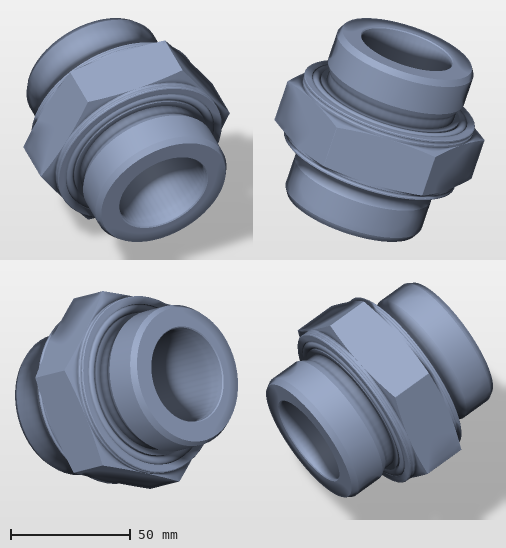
import cadquery as cq
import math

across_corners = 86.5
length = 76.0
half_length = length / 2
across_flats = 75.0
hex_radius = across_flats / 2

bore_radius = 40.0 / 2
bore_chamfer = 0.4

thread_radius = 60.0 / 2
neck_radius = 55.9 / 2
end_chamfer_length = 2.6
taper_angle = 30
thread_end = 15.4
neck_blend_radius = 1.5

collar_face = 24.0
collar_rim_width = 0.35
collar_rim_length = 0.3
rim_groove_start = 24.8
rim_groove_end = 26.2
rim_groove_depth = 0.35
hex_start = 27.4
hex_chamfer_angle = 15

lip_face = 23.3
lip_radius = 30.4
seal_outer_radius = 68.2 / 2
seal_section_radius = (seal_outer_radius - lip_radius) / 2
seal_centre_radius = (seal_outer_radius + lip_radius) / 2
seal_centre = lip_face + seal_section_radius


def axial(distance):
    """X coordinate of a point at a distance from the left end face."""
    return distance - half_length


def make_left_turned_half():
    """Left turned end, from the end face to the middle of the part, without the seal groove."""
    taper = math.tan(math.radians(taper_angle))
    end_radius = thread_radius - end_chamfer_length * taper
    taper_end = thread_end + (thread_radius - neck_radius) / taper
    blend_tangent = neck_blend_radius * math.tan(math.radians(taper_angle / 2))
    blend_start_x = taper_end - blend_tangent * math.cos(math.radians(taper_angle))
    blend_start_r = neck_radius + blend_tangent * math.sin(math.radians(taper_angle))
    blend_end_x = taper_end + blend_tangent
    blend_mid_x = blend_end_x - neck_blend_radius * math.sin(math.radians(taper_angle / 2))
    blend_mid_r = neck_radius + neck_blend_radius * (1 - math.cos(math.radians(taper_angle / 2)))

    groove_middle = (rim_groove_start + rim_groove_end) / 2
    groove_floor = hex_radius - rim_groove_depth
    return (
        cq.Workplane("XY")
        .moveTo(axial(0), 0)
        .lineTo(axial(0), end_radius)
        .lineTo(axial(end_chamfer_length), thread_radius)
        .lineTo(axial(thread_end), thread_radius)
        .lineTo(axial(blend_start_x), blend_start_r)
        .threePointArc((axial(blend_mid_x), blend_mid_r), (axial(blend_end_x), neck_radius))
        .lineTo(axial(lip_face), neck_radius)
        .lineTo(axial(lip_face), lip_radius)
        .lineTo(axial(collar_face), lip_radius)
        .lineTo(axial(collar_face), hex_radius - collar_rim_width)
        .lineTo(axial(collar_face + collar_rim_length), hex_radius)
        .lineTo(axial(rim_groove_start), hex_radius)
        .threePointArc((axial(groove_middle), groove_floor), (axial(rim_groove_end), hex_radius))
        .lineTo(0, hex_radius)
        .lineTo(0, 0)
        .close()
        .revolve(360, (0, 0, 0), (1, 0, 0))
    )


def make_hexagon():
    """Hexagon with corners on the Y axis, both ends chamfered by a shallow cone."""
    half_width = half_length - hex_start
    corner_radius = across_corners / 2
    chamfer = (corner_radius - hex_radius) * math.tan(math.radians(hex_chamfer_angle))
    sharp_across_corners = across_flats / math.cos(math.radians(30))
    prism = cq.Workplane("YZ").polygon(6, sharp_across_corners).extrude(half_width, both=True)
    envelope = (
        cq.Workplane("XY")
        .polyline([
            (-half_width, 0),
            (-half_width, hex_radius),
            (chamfer - half_width, corner_radius),
            (half_width - chamfer, corner_radius),
            (half_width, hex_radius),
            (half_width, 0),
        ])
        .close()
        .revolve(360, (0, 0, 0), (1, 0, 0))
    )
    return prism.intersect(envelope)


def make_left_seal_groove():
    """Cutter for the left groove: open to the collar face and round at the bottom."""
    return (
        cq.Workplane("XY")
        .moveTo(axial(lip_face), lip_radius)
        .lineTo(axial(seal_centre), lip_radius)
        .threePointArc(
            (axial(seal_centre + seal_section_radius), seal_centre_radius),
            (axial(seal_centre), seal_outer_radius),
        )
        .lineTo(axial(lip_face), seal_outer_radius)
        .close()
        .revolve(360, (0, 0, 0), (1, 0, 0))
    )


def make_left_seal():
    """Round-section seal ring seated in the left groove."""
    return (
        cq.Workplane("XY")
        .pushPoints([(axial(seal_centre), seal_centre_radius)])
        .circle(seal_section_radius)
        .revolve(360, (0, 0, 0), (1, 0, 0))
    )


def make_bore():
    """Cutter for the through bore with a chamfer at each mouth."""
    mouth_radius = bore_radius + bore_chamfer
    return (
        cq.Workplane("XY")
        .polyline([
            (-half_length, 0),
            (-half_length, mouth_radius),
            (bore_chamfer - half_length, bore_radius),
            (half_length - bore_chamfer, bore_radius),
            (half_length, mouth_radius),
            (half_length, 0),
        ])
        .close()
        .revolve(360, (0, 0, 0), (1, 0, 0))
    )


def make_fitting():
    """Turned ends joined to the hexagon, then bored and grooved."""
    left_half = make_left_turned_half().cut(make_left_seal_groove())
    turned_body = left_half.union(left_half.mirror("YZ"))
    return turned_body.union(make_hexagon()).cut(make_bore())


fitting = make_fitting()

seals = []
for turn in (0, 180):
    seal = make_left_seal().rotate((0, 0, 0), (0, 0, 1), turn)
    seals.append(seal.val())

result = cq.Compound.makeCompound([fitting.val(), *seals])